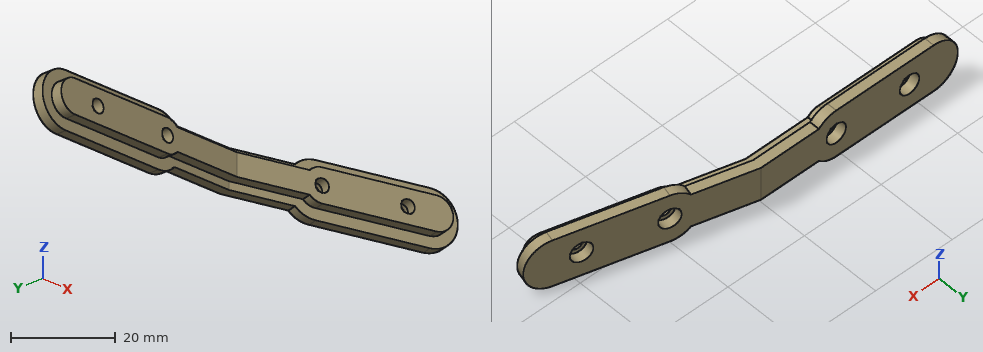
import cadquery as cq
import math

overall_length = 101.2
bend_angle = 15.0
pad_width = 12.7
neck_width = 8.8
step_inset = 2.5
neck_inset = 1.8
layer_thickness = 2.5
shoulder_center = 31.8
hole_diameter = 3.0
recess_diameter = 5.1
outer_hole_position = 12.7

pad_radius = pad_width / 2
thickness = 2 * layer_thickness
arm_length = overall_length / (1 + math.cos(math.radians(bend_angle)))
miter_setback = thickness * math.tan(math.radians(bend_angle / 2))


def arm_layer(end_radius, neck_half, back_y):
    """One layer of the flat arm: a round-ended pad running into a neck."""
    pad_length = shoulder_center - pad_radius
    pad_middle = (pad_radius + shoulder_center) / 2
    neck_length = arm_length - shoulder_center
    neck_middle = shoulder_center + neck_length / 2
    return (
        cq.Workplane("XZ", origin=(0, back_y, 0))
        .center(pad_middle, 0)
        .slot2D(pad_length + 2 * end_radius, 2 * end_radius)
        .extrude(layer_thickness)
        .union(
            cq.Workplane("XZ", origin=(neck_middle, back_y, 0))
            .rect(neck_length, 2 * neck_half)
            .extrude(layer_thickness)
        )
    )


def hole_pair(diameter, depth):
    """Cutters for both holes of an arm, sunk from the back face."""
    return (
        cq.Workplane("XZ")
        .pushPoints([(outer_hole_position, 0), (shoulder_center, 0)])
        .circle(diameter / 2)
        .extrude(depth)
    )


def mitered_arm():
    """Stepped arm with two holes, cut at its inner end on the bend plane."""
    base = arm_layer(pad_radius, neck_width / 2, 0)
    raised = arm_layer(pad_radius - step_inset, neck_width / 2 - neck_inset, -layer_thickness)
    holes = hole_pair(hole_diameter, thickness).union(hole_pair(recess_diameter, layer_thickness))
    miter_limit = (
        cq.Workplane("XY", origin=(0, 0, -pad_radius))
        .polyline([(0, 0), (arm_length, 0), (arm_length - miter_setback, -thickness), (0, -thickness)])
        .close()
        .extrude(pad_width)
    )
    return base.union(raised).cut(holes).intersect(miter_limit)


left_arm = mitered_arm()
right_arm = (
    left_arm.mirror("YZ", (arm_length, 0, 0))
    .rotate((arm_length, 0, 0), (arm_length, 0, 1), -bend_angle)
)
result = left_arm.union(right_arm)